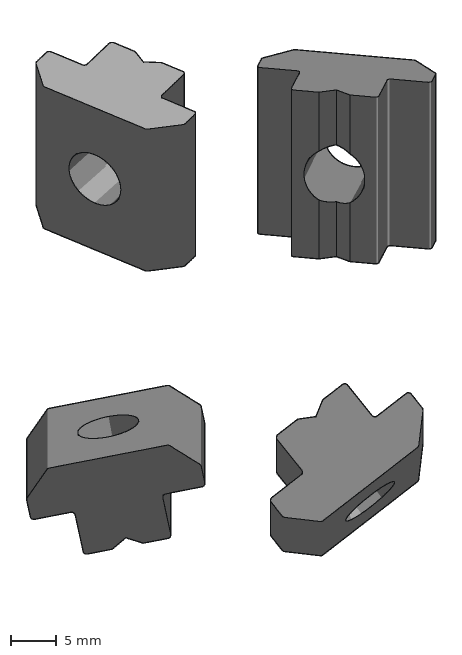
import cadquery as cq
import math

length = 20.0
flange_width = 19.5
height = 10.6

flange_height = 5.5
neck_width = 9.8
bevel = 3.0
groove_depth = 1.0
groove_angle = 120.0
edge_radius = 0.4

hole_diameter = 6.8

half_flange = flange_width / 2
half_neck = neck_width / 2
half_groove = groove_depth * math.tan(math.radians(groove_angle / 2))
base_y = -height / 2
shoulder_y = base_y + flange_height
top_y = height / 2


def extruded_profile():
    """T-shaped section with a V groove, centred on the origin."""
    right_side = [
        (half_flange - bevel, base_y),
        (half_flange, base_y + bevel),
        (half_flange, shoulder_y),
        (half_neck, shoulder_y),
        (half_neck, top_y),
        (half_groove, top_y),
    ]
    left_side = [(-x, y) for x, y in reversed(right_side)]
    outline = right_side + [(0, top_y - groove_depth)] + left_side
    return cq.Workplane("XY").polyline(outline).close().extrude(length / 2, both=True)


def round_edge_pair(body, x, y):
    """Round the two lengthwise edges at (x, y) and (-x, y)."""
    edges = body.edges(cq.NearestToPointSelector((x, y, 0)))
    edges = edges.add(body.edges(cq.NearestToPointSelector((-x, y, 0))))
    return edges.fillet(edge_radius)


body = extruded_profile()
body = round_edge_pair(body, half_neck, top_y)
body = round_edge_pair(body, half_neck, shoulder_y)
body = round_edge_pair(body, half_flange, shoulder_y)
body = round_edge_pair(body, half_flange, base_y + bevel)
body = round_edge_pair(body, half_flange - bevel, base_y)

hole = cq.Workplane("XZ").circle(hole_diameter / 2).extrude(height, both=True)

result = body.cut(hole)